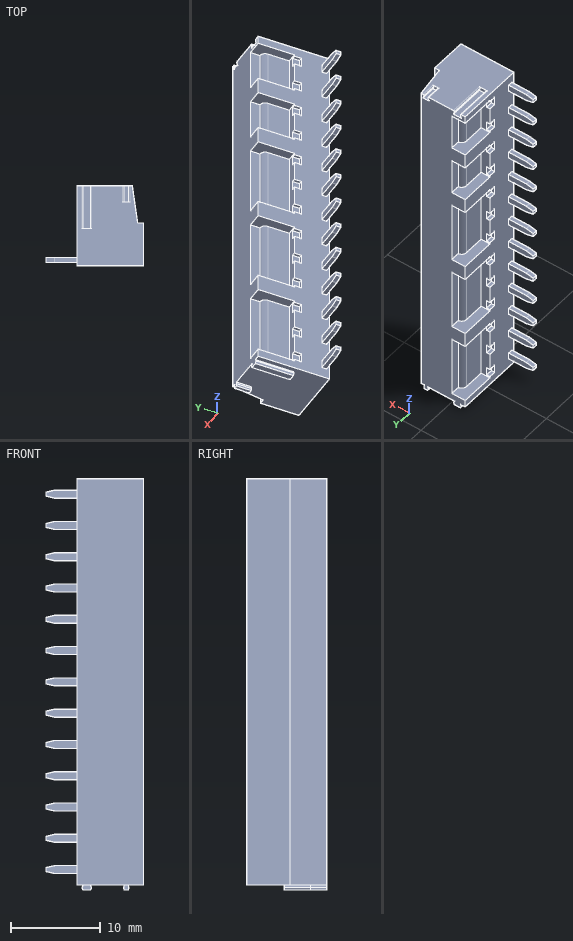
import cadquery as cq

contact_pitch = 3.5
contact_groups = [3, 3, 3, 2, 2]
contact_count = sum(contact_groups)
housing_width = 7.45
housing_depth = 9.0
housing_height = contact_count * contact_pitch
first_contact_z = contact_pitch / 2

step_y = 4.85
step_width = 0.65
slope_top_width = 6.2

pocket_overhang = 0.75
pocket_length = 4.55
pocket_depth = 1.25
rear_depth = 1.9
rear_length = 1.2
rounding_radius = rear_depth - pocket_depth

notch_length = 0.87
notch_height = 1.1
notch_depth = 0.45

pin_length = 3.45
pin_thickness = 0.6
pin_height = 0.9
pin_y = 0.35
tip_length = 0.95
tip_height = 0.45

rib_height = 0.55
lip_radius = 0.15
large_key_x = 1.1
large_key_length = 4.8
large_groove_width = 1.1
large_rib_narrow = 0.85
large_rib_wide = 1.1
small_key_x = 5.53
small_key_length = 1.85
small_groove_width = 0.85
small_rib_narrow = 0.5
small_rib_wide = 0.6


def contact_z(index):
    """Height of a contact's centre, counted from the bottom."""
    return first_contact_z + index * contact_pitch


def box(x, y, z, size_x, size_y, size_z):
    """Box with its lowest corner at the given place."""
    return cq.Workplane("XY").box(size_x, size_y, size_z, centered=False).translate((x, y, z))


def make_housing():
    outline = [
        (0, 0),
        (housing_width, 0),
        (housing_width, step_y),
        (housing_width - step_width, step_y),
        (slope_top_width, housing_depth),
        (0, housing_depth),
    ]
    return cq.Workplane("XY").polyline(outline).close().extrude(housing_height)


def make_pocket(bottom, top):
    """Pocket whose floor rolls over into a deeper strip at the open +Y edge."""
    roll_end = housing_depth - rear_length
    roll_start = roll_end - rounding_radius
    return (
        cq.Workplane("XY", origin=(0, 0, bottom))
        .moveTo(0, housing_depth - pocket_length)
        .lineTo(pocket_depth, housing_depth - pocket_length)
        .lineTo(pocket_depth, roll_start)
        .radiusArc((rear_depth, roll_end), rounding_radius)
        .lineTo(rear_depth, housing_depth)
        .lineTo(0, housing_depth)
        .close()
        .extrude(top - bottom)
    )


def make_notch(z):
    notch_start = housing_depth - pocket_length - notch_length
    return box(0, notch_start, z - notch_height / 2, notch_depth, notch_length, notch_height)


def make_pin(z):
    """Flat pin pointing to -X, tapered in height at its tip."""
    shoulder_x = tip_length - pin_length
    outline = [
        (0, z - pin_height / 2),
        (shoulder_x, z - pin_height / 2),
        (-pin_length, z - tip_height / 2),
        (-pin_length, z + tip_height / 2),
        (shoulder_x, z + pin_height / 2),
        (0, z + pin_height / 2),
    ]
    pin = cq.Workplane("XZ").polyline(outline).close().extrude(-pin_thickness)
    return pin.translate((0, pin_y, 0))


def make_rib(x, length, narrow, wide):
    """Hexagonal bar under the housing, running in from the +Y side."""
    outline = [
        (x - narrow / 2, 0),
        (x - wide / 2, -rib_height / 2),
        (x - narrow / 2, -rib_height),
        (x + narrow / 2, -rib_height),
        (x + wide / 2, -rib_height / 2),
        (x + narrow / 2, 0),
    ]
    bar = cq.Workplane("XZ").polyline(outline).close().extrude(length)
    return bar.translate((0, housing_depth, 0))


def make_groove(x, length, width):
    """Dovetail groove in the top with rounded lips, running in from the +Y side."""
    left = x - width / 2
    right = x + width / 2
    lip_z = housing_height - lip_radius
    floor_z = housing_height - rib_height
    return (
        cq.Workplane("XZ", origin=(0, housing_depth, 0))
        .moveTo(left, housing_height)
        .radiusArc((left + lip_radius, lip_z), lip_radius)
        .lineTo(left, floor_z)
        .lineTo(right, floor_z)
        .lineTo(right - lip_radius, lip_z)
        .radiusArc((right, housing_height), lip_radius)
        .close()
        .extrude(length)
    )


result = make_housing()

first_of_group = 0
for group_size in contact_groups:
    last_of_group = first_of_group + group_size - 1
    pocket_bottom = contact_z(first_of_group) - pocket_overhang
    pocket_top = contact_z(last_of_group) + pocket_overhang
    result = result.cut(make_pocket(pocket_bottom, pocket_top))
    first_of_group += group_size

for index in range(contact_count):
    result = result.cut(make_notch(contact_z(index)))
    result = result.union(make_pin(contact_z(index)))

for x, length, groove_width, rib_narrow, rib_wide in (
    (large_key_x, large_key_length, large_groove_width, large_rib_narrow, large_rib_wide),
    (small_key_x, small_key_length, small_groove_width, small_rib_narrow, small_rib_wide),
):
    result = result.cut(make_groove(x, length, groove_width))
    result = result.union(make_rib(x, length, rib_narrow, rib_wide))